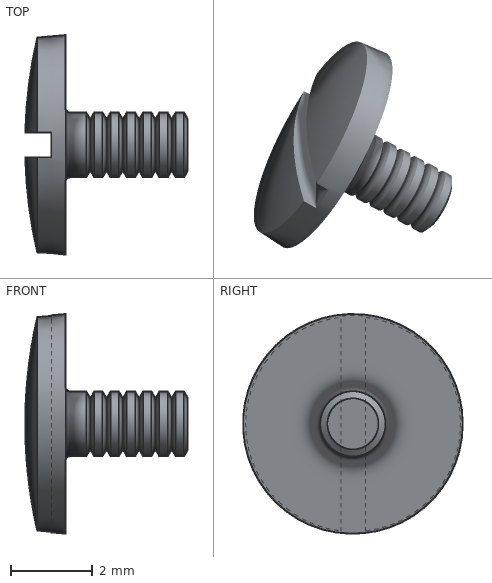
import cadquery as cq
import math

head_diameter = 5.4
head_height = 1.0
dome_height = 0.3
rim_taper_angle = 5.0

total_length = 4.0
shank_diameter = 1.6
neck_fillet = 0.1
pitch = 0.4
groove_count = 6
groove_width = 0.2
groove_angle = 60.0

slot_width = 0.6
slot_depth = 0.64

head_radius = head_diameter / 2
shank_radius = shank_diameter / 2
rim_height = head_height - dome_height
rim_front_radius = head_radius - rim_height * math.tan(math.radians(rim_taper_angle))
half_groove = groove_width / 2
root_radius = shank_radius - half_groove / math.tan(math.radians(groove_angle / 2))


def make_head():
    dome_radius = (rim_front_radius**2 + dome_height**2) / (2 * dome_height)
    half_angle = math.asin(rim_front_radius / dome_radius) / 2
    dome_mid = (
        dome_radius * (1 - math.cos(half_angle)),
        dome_radius * math.sin(half_angle),
    )
    profile = (
        cq.Workplane("XY")
        .threePointArc(dome_mid, (dome_height, rim_front_radius))
        .lineTo(head_height, head_radius)
        .lineTo(head_height, 0)
        .close()
    )
    return profile.revolve(360, (0, 0, 0), (1, 0, 0))


def make_shank():
    start = head_height - rim_height / 2
    fillet_end = head_height + neck_fillet
    fillet_mid = (
        fillet_end - neck_fillet * math.sin(math.pi / 4),
        shank_radius + neck_fillet * (1 - math.cos(math.pi / 4)),
    )
    outline = (
        cq.Workplane("XY")
        .moveTo(start, 0)
        .lineTo(start, shank_radius + neck_fillet)
        .lineTo(head_height, shank_radius + neck_fillet)
        .threePointArc(fillet_mid, (fillet_end, shank_radius))
    )
    for index in range(groove_count, 0, -1):
        root_x = total_length - index * pitch
        outline = (
            outline.lineTo(root_x - half_groove, shank_radius)
            .lineTo(root_x, root_radius)
            .lineTo(root_x + half_groove, shank_radius)
        )
    outline = (
        outline.lineTo(total_length - half_groove, shank_radius)
        .lineTo(total_length, root_radius)
        .lineTo(total_length, 0)
        .close()
    )
    return outline.revolve(360, (0, 0, 0), (1, 0, 0))


def make_slot():
    return cq.Workplane("XY").box(
        slot_depth, slot_width, head_diameter, centered=(False, True, True)
    )


result = make_head().union(make_shank()).cut(make_slot())